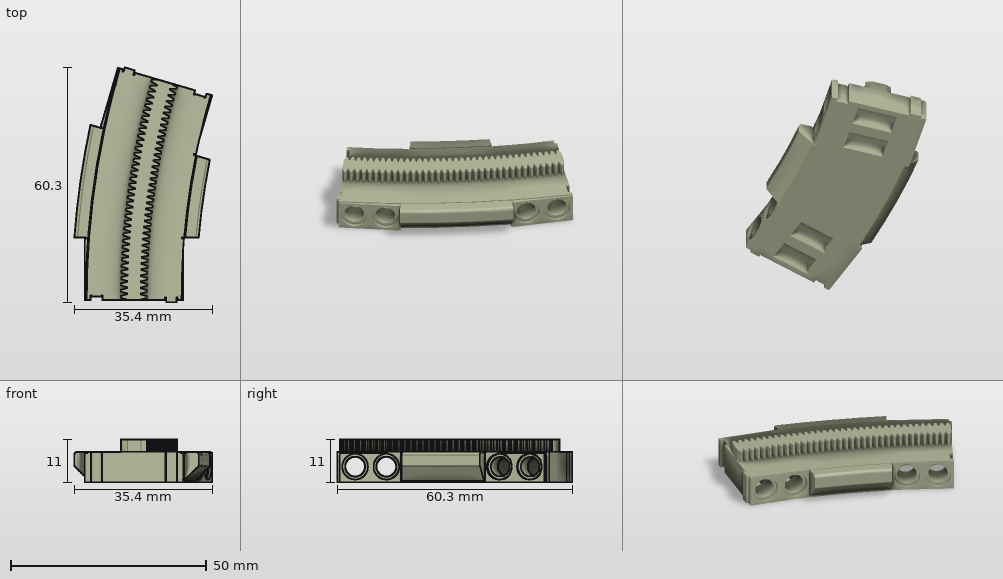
import cadquery as cq
import math

track_radius = 200.0
arc_angle = math.degrees(math.atan2(7, 24))

body_height = 7.8
core_outside_offset = 12.05
core_inside_offset = 12.2
block_half_width = 12.6
block_length = 16.0
block_height = 7.6

groove_width = 0.3
groove_depth = 0.3

rail_outside_offset = 15.87
rail_inside_offset = 15.95
rail_knee_height = 4.2
rail_top_radius = 0.8
rail_knee_radius = 0.4
rail_gap_width = 0.25
rail_gap_depth = 0.25

total_height = 11.0
rack_overlap = 0.5
tooth_count = 36
rack_end_setback = 0.1
tooth_tip_offset = 3.35
tooth_root_offset = 1.72
tooth_tip_fraction = 0.30
tooth_root_fraction = 0.14

hole_pitch = 8.0
hole_diameter = 5.0
counterbore_diameter = 6.6
counterbore_depth = 0.8
hole_height = 4.0

channel_half_length = 5.2
channel_width = 5.2

tab_center = 9.6
tab_width = 2.7
tab_length = 0.605
tab_relief_depth = 0.6
notch_center = -9.55
notch_width = 3.0
notch_depth = 0.9
notch_relief_depth = 1.15
relief_width = 0.2

overcut = 10.0


def arc_point(radius, angle):
    """Point at a radius and angle in degrees, measured about the centre of the track arc."""
    turn = math.radians(angle)
    return (track_radius - radius * math.cos(turn), radius * math.sin(turn))


def arc_sector(offset_low, offset_high, height):
    """Sector of the track between two sideways offsets; positive offsets are outside the bend."""
    inner = track_radius + offset_low
    outer = track_radius + offset_high
    return (
        cq.Workplane("XY")
        .moveTo(*arc_point(inner, 0))
        .lineTo(*arc_point(outer, 0))
        .threePointArc(arc_point(outer, arc_angle / 2), arc_point(outer, arc_angle))
        .lineTo(*arc_point(inner, arc_angle))
        .threePointArc(arc_point(inner, arc_angle / 2), arc_point(inner, 0))
        .close()
        .extrude(height)
    )


def box(x_low, x_high, y_low, y_high, z_low, z_high):
    """Axis-aligned box between the given limits."""
    return cq.Workplane("XY").box(
        x_high - x_low, y_high - y_low, z_high - z_low, centered=False
    ).translate((x_low, y_low, z_low))


def at_far_end(shape):
    """Copy of a near-end shape, turned around and carried along the arc to the far end."""
    arc_center = (track_radius, 0, 0)
    arc_axis_end = (track_radius, 0, 1)
    turned = shape.rotate((0, 0, 0), (0, 0, 1), 180)
    return turned.rotate(arc_center, arc_axis_end, -arc_angle)


def make_rail(side):
    """Side rail with a 45 degree underside; side is +1 outside the bend and -1 inside."""
    rail_offset = rail_outside_offset if side > 0 else rail_inside_offset
    inner_offset = rail_offset - rail_knee_height
    profile = (
        cq.Sketch()
        .polygon([
            (-side * inner_offset, 0),
            (-side * rail_offset, rail_knee_height),
            (-side * rail_offset, body_height),
            (-side * inner_offset, body_height),
            (-side * inner_offset, 0),
        ])
    )
    outer_edge = "<X" if side > 0 else ">X"
    profile = profile.vertices(f"{outer_edge} and >Y").fillet(rail_top_radius)
    knee = (-side * rail_offset, rail_knee_height, 0)
    profile = profile.reset().vertices(cq.selectors.NearestToPointSelector(knee)).fillet(rail_knee_radius)
    return (
        cq.Workplane("XZ")
        .placeSketch(profile)
        .revolve(arc_angle, (track_radius, 0, 0), (track_radius, -1, 0))
    )


def make_end_zone():
    """Everything within the length of the near end block, used to stop the rails."""
    reach = rail_inside_offset + overcut
    return box(-reach, reach, -overcut, block_length, -overcut, total_height + overcut)


def make_end_block():
    """Straight end block with its tab."""
    block = box(-block_half_width, block_half_width, 0, block_length, 0, block_height)
    tab_low = tab_center - tab_width / 2
    tab_high = tab_center + tab_width / 2
    tab = box(tab_low, tab_high, -tab_length, tab_relief_depth, 0, body_height)
    return block.union(tab)


def end_slot(x_low, x_high, depth):
    """Slot over the full height, cut into the end face."""
    return box(x_low, x_high, -overcut, depth, 0, body_height)


def make_end_cuts():
    """Notch, tab reliefs, rail gaps and pin holes with their channels, of one end block."""
    notch_low = notch_center - notch_width / 2
    notch_high = notch_center + notch_width / 2
    tab_low = tab_center - tab_width / 2
    tab_high = tab_center + tab_width / 2

    cuts = end_slot(notch_low, notch_high, notch_depth)
    cuts = cuts.union(end_slot(notch_low, notch_low + relief_width, notch_relief_depth))
    cuts = cuts.union(end_slot(notch_high - relief_width, notch_high, notch_relief_depth))
    cuts = cuts.union(end_slot(tab_low - relief_width, tab_low, tab_relief_depth))
    cuts = cuts.union(end_slot(tab_high, tab_high + relief_width, tab_relief_depth))

    for side in (-1, 1):
        gap_bottom = side * (block_half_width - rail_gap_depth)
        gap_low, gap_high = sorted((gap_bottom, side * (block_half_width + overcut)))
        cuts = cuts.union(
            box(gap_low, gap_high, block_length - rail_gap_width, block_length, 0, body_height)
        )
    for hole_y in (hole_pitch / 2, hole_pitch * 3 / 2):
        cuts = cuts.union(make_pin_hole(hole_y)).union(make_pin_channel(hole_y))
    return cuts


def make_pin_hole(hole_y):
    """Cross hole with a counterbore on both sides of the end block."""
    hole = cross_cylinder(hole_y, hole_diameter, -block_half_width - overcut, block_half_width + overcut)
    floor = block_half_width - counterbore_depth
    mouth = block_half_width + overcut
    hole = hole.union(cross_cylinder(hole_y, counterbore_diameter, floor, mouth))
    return hole.union(cross_cylinder(hole_y, counterbore_diameter, -mouth, -floor))


def make_pin_channel(hole_y):
    """Round-topped channel along the middle of a pin hole, open at the bottom."""
    roof = cross_cylinder(hole_y, channel_width, -channel_half_length, channel_half_length)
    y_low = hole_y - channel_width / 2
    y_high = hole_y + channel_width / 2
    slot = box(-channel_half_length, channel_half_length, y_low, y_high, -overcut, hole_height)
    return roof.union(slot)


def cross_cylinder(y, diameter, x_low, x_high):
    """Cylinder along X at the height of the pin holes."""
    return (
        cq.Workplane("YZ", origin=(x_low, 0, 0))
        .center(y, hole_height)
        .circle(diameter / 2)
        .extrude(x_high - x_low)
    )


def make_rack():
    """Double-sided rack along the track arc, with straight-flanked teeth."""
    pitch_angle = arc_angle / tooth_count
    tooth_profile = (
        (tooth_root_fraction / 2, tooth_root_offset),
        ((1 - tooth_tip_fraction) / 2, tooth_tip_offset),
        ((1 + tooth_tip_fraction) / 2, tooth_tip_offset),
        (1 - tooth_root_fraction / 2, tooth_root_offset),
    )
    setback_angle = math.degrees(rack_end_setback / track_radius)
    stations = []
    for tooth in range(tooth_count):
        for fraction, offset in tooth_profile:
            stations.append(((tooth + fraction) * pitch_angle, offset))
    stations[0] = (setback_angle, tooth_root_offset)
    stations[-1] = (arc_angle - setback_angle, tooth_root_offset)
    outside = [arc_point(track_radius + offset, angle) for angle, offset in stations]
    inside = [arc_point(track_radius - offset, angle) for angle, offset in reversed(stations)]
    base = body_height - rack_overlap
    return (
        cq.Workplane("XY", origin=(0, 0, base))
        .polyline(outside + inside)
        .close()
        .extrude(total_height - base)
    )


def make_grooves():
    """Shallow grooves along both long edges of the core."""
    outside = arc_sector(core_outside_offset, core_outside_offset + groove_width, body_height)
    inside = arc_sector(-core_inside_offset - groove_width, -core_inside_offset, body_height)
    return outside.union(inside).translate((0, 0, body_height - groove_depth))


end_zone = make_end_zone()
rails = make_rail(1).union(make_rail(-1)).cut(end_zone).cut(at_far_end(end_zone))

end_block = make_end_block()
end_cuts = make_end_cuts()

result = arc_sector(-core_inside_offset, core_outside_offset, body_height)
result = result.union(rails).union(end_block).union(at_far_end(end_block))
result = result.cut(make_grooves())
result = result.cut(end_cuts).cut(at_far_end(end_cuts))
result = result.union(make_rack())